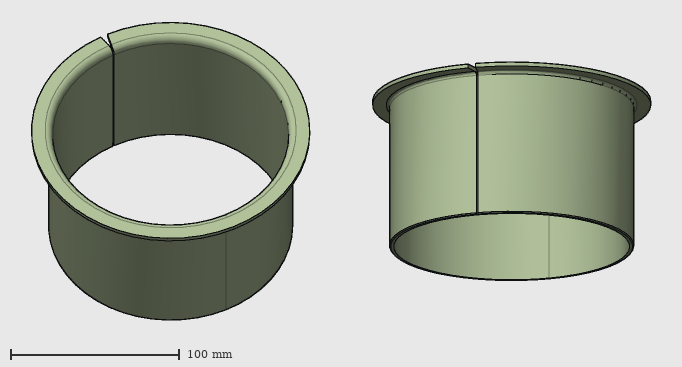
import cadquery as cq

flange_radius = 82.5
total_height = 90.0
sleeve_outer_radius = 72.5
sheet_thickness = 2.5
bend_outer_fillet = 2.0
bend_inner_fillet = bend_outer_fillet + sheet_thickness
foot_chamfer = 0.7

split_y = -2.5
slit_width = 0.8
flange_gap = 4.6

sleeve_inner_radius = sleeve_outer_radius - sheet_thickness
flange_underside = total_height - sheet_thickness


def make_bush():
    """Revolve the constant-thickness L-shaped wall section around Z."""
    bend_centre_radius = sleeve_outer_radius + bend_outer_fillet
    bend_centre_z = flange_underside - bend_outer_fillet
    diagonal = 0.5 ** 0.5

    def bend_middle(radius):
        return bend_centre_radius - radius * diagonal, bend_centre_z + radius * diagonal

    return (
        cq.Workplane("XZ")
        .moveTo(sleeve_inner_radius, 0)
        .lineTo(sleeve_outer_radius - foot_chamfer, 0)
        .lineTo(sleeve_outer_radius, foot_chamfer)
        .lineTo(sleeve_outer_radius, bend_centre_z)
        .threePointArc(bend_middle(bend_outer_fillet), (bend_centre_radius, flange_underside))
        .lineTo(flange_radius, flange_underside)
        .lineTo(flange_radius, total_height)
        .lineTo(bend_centre_radius, total_height)
        .threePointArc(bend_middle(bend_inner_fillet), (sleeve_inner_radius, bend_centre_z))
        .close()
        .revolve(360, (0, 0, 0), (0, 1, 0))
    )


def make_split():
    """Full-height cutter: parallel through the sleeve wall, flaring out to the rim."""
    inner_x = -sleeve_inner_radius + sheet_thickness
    flare_start_x = -sleeve_outer_radius
    half_slit = slit_width / 2
    half_gap = flange_gap / 2
    return (
        cq.Workplane("XY")
        .moveTo(inner_x, split_y - half_slit)
        .lineTo(flare_start_x, split_y - half_slit)
        .lineTo(-flange_radius, split_y - half_gap)
        .lineTo(-flange_radius, split_y + half_gap)
        .lineTo(flare_start_x, split_y + half_slit)
        .lineTo(inner_x, split_y + half_slit)
        .close()
        .extrude(total_height)
    )


result = make_bush().cut(make_split())